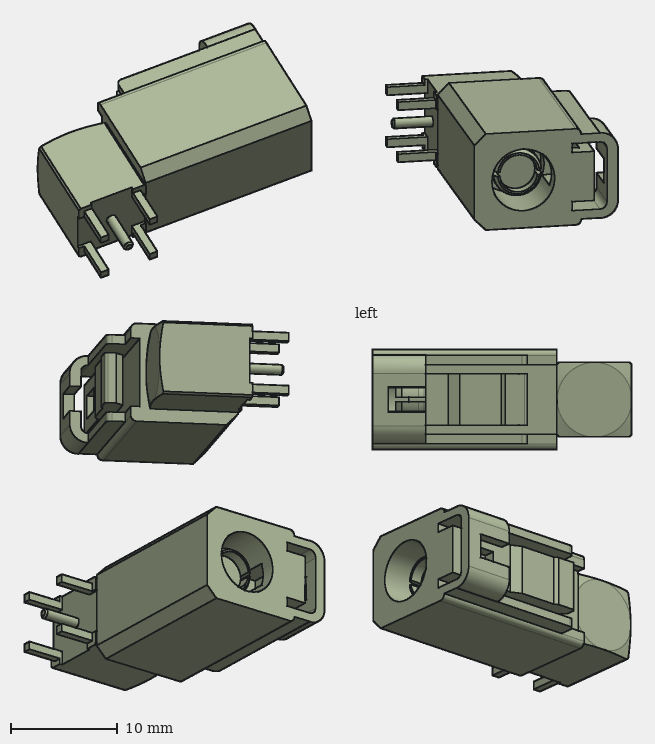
import cadquery as cq
import math

OVERALL_LENGTH_X = 17.4
OVERALL_LENGTH_Y = 24.3

HOUSING_HEIGHT = 9.4
HOUSING_LENGTH = 17.3
SHOULDER_X = 3.53
CHANNEL_FLOOR_X = 4.4
HOUSING_BACK_X = 13.75
BACK_CHAMFER = 1.08

RAIL_OUTER_X = 1.75
RAIL_OUTER_HEIGHT = 8.3
RAIL_INNER_HEIGHT = 6.55
SHOULDER_FILLET = (HOUSING_HEIGHT - RAIL_OUTER_HEIGHT) / 2
RAIL_LENGTH = 14.5
RAIL_CORNER_RADIUS = 0.5
LOOP_LENGTH = 5.0
LOOP_OUTER_HEIGHT = 8.34
LOOP_THICKNESS = 1.07
LOOP_OUTER_RADIUS = 1.7
LOOP_INNER_RADIUS = 0.68

TONGUE_WIDTH = 4.8
TONGUE_ROOT_X = 2.28
TONGUE_MIDDLE_X = 1.81
TONGUE_TIP_X = 1.59
TONGUE_UNDERSIDE_X = 3.43
TONGUE_TIP_CHAMFER = 0.78
LONG_RAMP_START = 7.11
LONG_RAMP_END = 8.18
SHORT_RAMP_START = 12.07
SHORT_RAMP_END = 12.47
TONGUE_TIP_RADIUS = 0.28

WINDOW_START = 1.5
WINDOW_END = LOOP_LENGTH
LOOP_WINDOW_WIDTH = 2.38
BORE_WINDOW_WIDTH = 2.2

BORE_AXIS_X = (CHANNEL_FLOOR_X + HOUSING_BACK_X) / 2
BORE_RADIUS = 3.0
BORE_DEPTH = 6.5
BARREL_COLLAR_RADIUS = 2.3
BARREL_NECK_RADIUS = 2.2
BARREL_TIP_RADIUS = 2.0
BARREL_TIP = 2.2
NOSE_END = 2.74
COLLAR_END = 4.32
NECK_START = 4.84
SLOT_WIDTH = 0.44
INSULATOR_RADIUS = 1.8
INSULATOR_TIP = 3.43

BLOCK_SIZE = OVERALL_LENGTH_Y - HOUSING_LENGTH
BLOCK_FRONT_X = 4.98
BLOCK_BACK_X = 13.83
BLOCK_CENTRE_Y = -HOUSING_LENGTH - BLOCK_SIZE / 2
BLOCK_EDGE_CHAMFER = 0.2
BEVEL_ANGLE = 15.0
STANDOFF_HEIGHT = 0.26
STANDOFF_GAP = 4.28
LEG_WIDTH = 0.8

PIN_DIAMETER = 0.98
PIN_CHAMFER = 0.18


def box(x_range, y_range, z_range):
    """Axis-aligned box between the given limits."""
    size = [high - low for low, high in (x_range, y_range, z_range)]
    corner = (x_range[0], y_range[0], z_range[0])
    return cq.Workplane("XY").box(*size, centered=False).translate(corner)


def slab(x_range, length, height):
    """Box running back from the mating face, centred on Z = 0."""
    return box(x_range, (-length, 0), (-height / 2, height / 2))


def cylinder(radius, start, end):
    """Cylinder on the bore axis between two depths behind the mating face."""
    plane = cq.Workplane("XZ", origin=(BORE_AXIS_X, -start, 0))
    return plane.circle(radius).extrude(end - start)


def housing_shell():
    body = slab((SHOULDER_X, HOUSING_BACK_X), HOUSING_LENGTH, HOUSING_HEIGHT)
    body = body.edges("|Y and <X").fillet(SHOULDER_FILLET)
    body = body.edges("|Y and >X").chamfer(BACK_CHAMFER)
    return body.cut(slab((SHOULDER_X, CHANNEL_FLOOR_X), HOUSING_LENGTH, RAIL_INNER_HEIGHT))


def latch_rails():
    rails = slab((RAIL_OUTER_X, CHANNEL_FLOOR_X), RAIL_LENGTH, RAIL_OUTER_HEIGHT)
    rails = rails.edges("|Z and <X and <Y").fillet(RAIL_CORNER_RADIUS)
    return rails.cut(slab((RAIL_OUTER_X, CHANNEL_FLOOR_X), RAIL_LENGTH, RAIL_INNER_HEIGHT))


def latch_loop():
    outer = slab((0, RAIL_OUTER_X), LOOP_LENGTH, LOOP_OUTER_HEIGHT)
    outer = outer.edges("|Y and <X").fillet(LOOP_OUTER_RADIUS)
    inner = slab((LOOP_THICKNESS, CHANNEL_FLOOR_X), LOOP_LENGTH, RAIL_INNER_HEIGHT)
    inner = inner.edges("|Y and <X").fillet(LOOP_INNER_RADIUS)
    return outer.cut(inner)


def latch_tongue():
    profile = [
        (TONGUE_ROOT_X, 0),
        (TONGUE_ROOT_X, -LONG_RAMP_START),
        (TONGUE_MIDDLE_X, -LONG_RAMP_END),
        (TONGUE_MIDDLE_X, -SHORT_RAMP_START),
        (TONGUE_TIP_X, -SHORT_RAMP_END),
        (TONGUE_TIP_X, -RAIL_LENGTH),
        (TONGUE_UNDERSIDE_X - TONGUE_TIP_CHAMFER, -RAIL_LENGTH),
        (TONGUE_UNDERSIDE_X, -RAIL_LENGTH + TONGUE_TIP_CHAMFER),
        (TONGUE_UNDERSIDE_X, -WINDOW_START),
        (CHANNEL_FLOOR_X, -WINDOW_START),
        (CHANNEL_FLOOR_X, 0),
    ]
    tongue = cq.Workplane("XY").polyline(profile).close().extrude(TONGUE_WIDTH / 2, both=True)
    return tongue.edges("|Z and <X and <Y").fillet(TONGUE_TIP_RADIUS)


def window(x_range, width):
    """Cutter for one stretch of the window."""
    return box(x_range, (-WINDOW_END, -WINDOW_START), (-width / 2, width / 2))


def make_housing():
    body = housing_shell().union(latch_rails()).union(latch_loop()).union(latch_tongue())
    body = body.cut(window((0, LOOP_THICKNESS), LOOP_WINDOW_WIDTH))
    body = body.cut(window((LOOP_THICKNESS, BORE_AXIS_X), BORE_WINDOW_WIDTH))
    body = body.cut(cylinder(BORE_RADIUS, 0, BORE_DEPTH))
    return body.cut(cylinder(BARREL_NECK_RADIUS, BORE_DEPTH, HOUSING_LENGTH))


def make_barrel():
    """Tube with a tapered nose and a collar, split by a slot across its free end."""
    barrel = (
        cq.Workplane("XY")
        .moveTo(INSULATOR_RADIUS, -BARREL_TIP)
        .lineTo(BARREL_TIP_RADIUS, -BARREL_TIP)
        .lineTo(BARREL_COLLAR_RADIUS, -NOSE_END)
        .lineTo(BARREL_COLLAR_RADIUS, -COLLAR_END)
        .lineTo(BARREL_NECK_RADIUS, -NECK_START)
        .lineTo(BARREL_NECK_RADIUS, -HOUSING_LENGTH)
        .lineTo(INSULATOR_RADIUS, -HOUSING_LENGTH)
        .close()
        .revolve(360, (0, 0, 0), (0, 1, 0))
        .translate((BORE_AXIS_X, 0, 0))
    )
    slot = box(
        (BORE_AXIS_X - BARREL_COLLAR_RADIUS, BORE_AXIS_X + BARREL_COLLAR_RADIUS),
        (-BORE_DEPTH, 0),
        (-SLOT_WIDTH / 2, SLOT_WIDTH / 2),
    )
    return barrel.cut(slot)


def make_insulator():
    return cylinder(INSULATOR_RADIUS, INSULATOR_TIP, HOUSING_LENGTH)


def bevel_envelope():
    """Cone frustum that trims the corners of the block's -X face down to a circle."""
    depth = BLOCK_BACK_X - BLOCK_FRONT_X
    face_radius = BLOCK_SIZE / 2
    base_radius = face_radius + depth / math.tan(math.radians(BEVEL_ANGLE))
    cone = cq.Solid.makeCone(
        face_radius,
        base_radius,
        depth,
        pnt=cq.Vector(BLOCK_FRONT_X, BLOCK_CENTRE_Y, 0),
        dir=cq.Vector(1, 0, 0),
    )
    return cq.Workplane(obj=cone)


def pin_shaft():
    """Solder pin, from the middle of the block out along +X."""
    start = (BLOCK_FRONT_X + BLOCK_BACK_X) / 2
    plane = cq.Workplane("YZ", origin=(start, BLOCK_CENTRE_Y, 0))
    return plane.circle(PIN_DIAMETER / 2).extrude(OVERALL_LENGTH_X - start)


def make_angle_block():
    block = cq.Workplane("YZ", origin=(BLOCK_FRONT_X, BLOCK_CENTRE_Y, 0))
    block = block.rect(BLOCK_SIZE, BLOCK_SIZE).extrude(BLOCK_BACK_X - BLOCK_FRONT_X)
    block = block.edges("|X").chamfer(BLOCK_EDGE_CHAMFER)
    block = block.intersect(bevel_envelope())

    recess = cq.Workplane("YZ", origin=(BLOCK_BACK_X - STANDOFF_HEIGHT, BLOCK_CENTRE_Y, 0))
    for width, height in ((BLOCK_SIZE, STANDOFF_GAP), (STANDOFF_GAP, BLOCK_SIZE)):
        block = block.cut(recess.rect(width, height).extrude(STANDOFF_HEIGHT))

    leg_pitch = STANDOFF_GAP + LEG_WIDTH
    legs = (
        cq.Workplane("YZ", origin=(BLOCK_BACK_X, BLOCK_CENTRE_Y, 0))
        .rect(leg_pitch, leg_pitch, forConstruction=True)
        .vertices()
        .rect(LEG_WIDTH, LEG_WIDTH)
        .extrude(OVERALL_LENGTH_X - BLOCK_BACK_X)
    )
    return block.union(legs).cut(pin_shaft())


def make_pin():
    return pin_shaft().faces(">X").chamfer(PIN_CHAMFER)


housing = make_housing()
barrel = make_barrel()
insulator = make_insulator()
angle_block = make_angle_block()
pin = make_pin()

result = cq.Compound.makeCompound(
    [housing.val(), barrel.val(), insulator.val(), angle_block.val(), pin.val()]
)